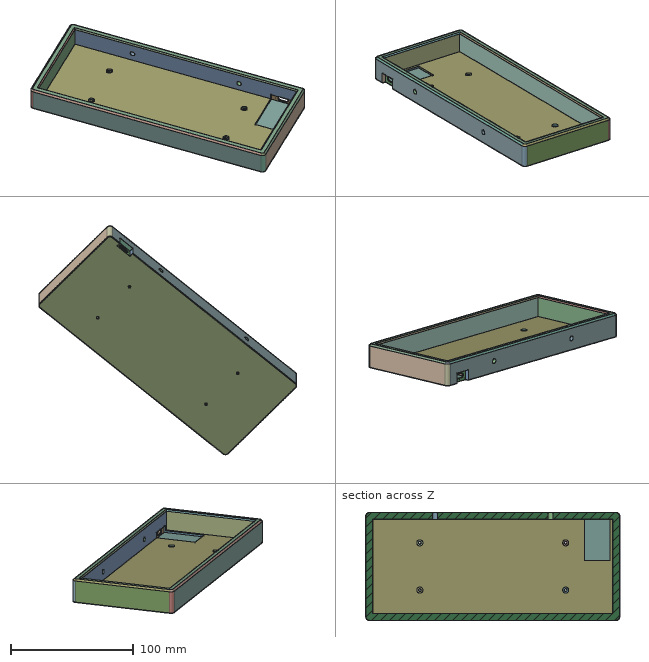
import cadquery as cq
length = 207.5
width = 88.4
corner_radius = 3.1
top_chamfer = 1.5
bottom_chamfer = 0.5
upright_height = 18.0
height = bottom_chamfer + upright_height + top_chamfer

wall = 5.8
floor_thickness = 3.0
cavity_chamfer = 1.0

screw_hole_diameter = 2.0
counterbore_diameter = 5.0
counterbore_depth = 1.7
screw_x_spacing = 119.0
screw_y_spacing = 38.5

wall_hole_diameter = 4.0
wall_hole_spacing = 94.2
wall_hole_z = 10.0

recess_x_min = 75.0
recess_x_max = 95.6
recess_y_min = 4.8
recess_wall_depth = 1.2
recess_floor_depth = 1.5
recess_height = 6.0

slot_length = 9.1
slot_height = 4.0
slot_z = 4.5

plug_clearance = 2.5
notch_length = slot_length + 2 * plug_clearance
notch_height = slot_z + slot_height / 2 + plug_clearance
notch_depth = 3.5

slot_x = (recess_x_min + recess_x_max) / 2
cavity_y_max = width / 2 - wall


def make_shell():
    """Round-cornered block hollowed from above, with bevelled rims."""
    block = (
        cq.Workplane("XY")
        .box(length, width, height, centered=(True, True, False))
        .edges("|Z").fillet(corner_radius)
        .faces(">Z").chamfer(top_chamfer)
        .faces("<Z").chamfer(bottom_chamfer)
    )
    cavity = (
        cq.Workplane("XY", origin=(0, 0, floor_thickness))
        .rect(length - 2 * wall, width - 2 * wall)
        .extrude(height - floor_thickness)
    )
    rim_bevel = (
        cq.Workplane("XY", origin=(0, 0, height))
        .rect(length - 2 * (wall - cavity_chamfer), width - 2 * (wall - cavity_chamfer))
        .workplane(offset=-cavity_chamfer)
        .rect(length - 2 * wall, width - 2 * wall)
        .loft(ruled=True)
    )
    return block.cut(cavity).cut(rim_bevel)


def screw_cylinders(diameter, depth):
    """One cylinder sunk from the floor surface at each of the four screw positions."""
    return (
        cq.Workplane("XY", origin=(0, 0, floor_thickness))
        .rarray(screw_x_spacing, screw_y_spacing, 2, 2)
        .circle(diameter / 2)
        .extrude(-depth)
    )


def make_wall_holes():
    """Round holes running along Y, from the cavity out through the back wall."""
    return (
        cq.Workplane("XZ", origin=(0, width / 2, wall_hole_z))
        .rarray(wall_hole_spacing, 2, 2, 1)
        .circle(wall_hole_diameter / 2)
        .extrude(wall)
    )


def make_recess():
    """Rectangular space for the board, reaching into the back wall."""
    recess_y_max = cavity_y_max + recess_wall_depth
    return cq.Workplane("XY").box(
        recess_x_max - recess_x_min,
        recess_y_max - recess_y_min,
        recess_height,
        centered=False,
    ).translate((recess_x_min, recess_y_min, floor_thickness - recess_floor_depth))


def make_slot():
    """Round-ended connector slot through the back wall."""
    return (
        cq.Workplane("XZ", origin=(slot_x, width / 2, slot_z))
        .slot2D(slot_length, slot_height)
        .extrude(wall)
    )


def make_plug_notch():
    """Clearance for the plug, cut into the outside of the back wall from the underside up."""
    return (
        cq.Workplane("XZ", origin=(slot_x, width / 2, notch_height / 2))
        .rect(notch_length, notch_height)
        .extrude(notch_depth)
    )


result = (
    make_shell()
    .cut(screw_cylinders(screw_hole_diameter, floor_thickness))
    .cut(screw_cylinders(counterbore_diameter, counterbore_depth))
    .cut(make_wall_holes())
    .cut(make_recess())
    .cut(make_slot())
    .cut(make_plug_notch())
)